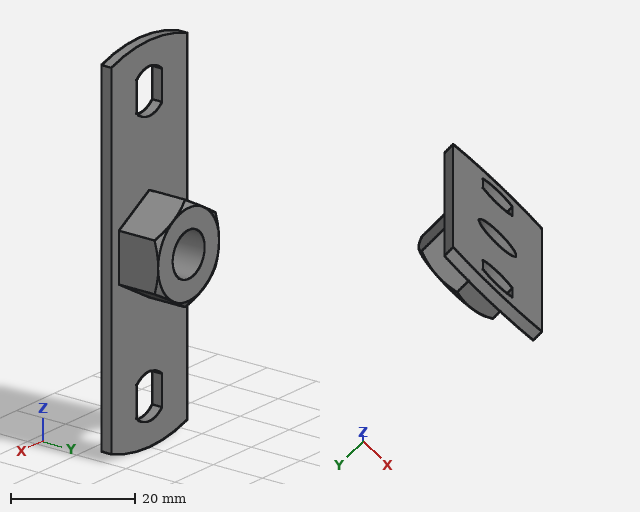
import cadquery as cq
import math

plate_width = 20.0
plate_length = 70.0
plate_thickness = 2.0
end_rise = 1.75

total_depth = 10.0
nut_flats = 16.0
nut_corners = nut_flats / math.cos(math.radians(30))
chamfer_angle = 30.0
bore_diameter = 8.4

slot_width = 6.65
slot_length = 8.55
slot_end_rise = 1.4
slot_offset = 26.25


def bowed_outline(workplane, width, length, rise):
    """Rectangle with straight long sides and an outward arc at each end."""
    half_width = width / 2
    half_length = length / 2
    corner = half_length - rise
    return (
        workplane.moveTo(-half_width, -corner)
        .threePointArc((0, -half_length), (half_width, -corner))
        .lineTo(half_width, corner)
        .threePointArc((0, half_length), (-half_width, corner))
        .close()
    )


def plane_at(z):
    """Sketch plane on the outer face, facing into the part along +Y."""
    return cq.Workplane(cq.Plane(origin=(0, 0, z), xDir=(-1, 0, 0), normal=(0, 1, 0)))


def make_nut():
    """Hexagonal prism whose free end is trimmed by a chamfer cone."""
    prism = plane_at(0).polygon(6, nut_corners).extrude(total_depth)
    prism = prism.rotate((0, 0, 0), (0, 1, 0), 90)
    corner_radius = nut_corners / 2
    end_radius = nut_flats / 2
    chamfer_depth = (corner_radius - end_radius) * math.tan(math.radians(chamfer_angle))
    envelope = (
        cq.Workplane("XY")
        .polyline([
            (0, 0),
            (corner_radius, 0),
            (corner_radius, total_depth - chamfer_depth),
            (end_radius, total_depth),
            (0, total_depth),
        ])
        .close()
        .revolve(360, (0, 0, 0), (0, 1, 0))
    )
    return prism.intersect(envelope)


plate = bowed_outline(plane_at(0), plate_width, plate_length, end_rise).extrude(plate_thickness)
result = plate.union(make_nut())

result = result.cut(plane_at(0).circle(bore_diameter / 2).extrude(total_depth))

for slot_z in (-slot_offset, slot_offset):
    slot = bowed_outline(plane_at(slot_z), slot_width, slot_length, slot_end_rise)
    result = result.cut(slot.extrude(plate_thickness))